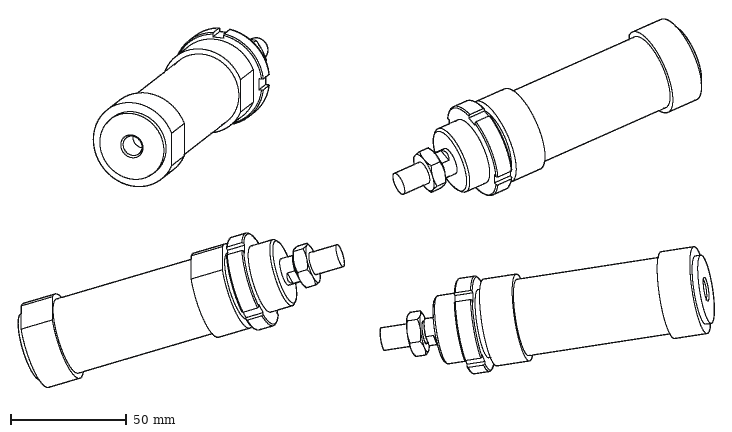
import cadquery as cq
import math


total_length = 144.5
rod_length = 25.9
nose_length = 22.1
cap_length = 14.6
spigot_length = 2.5
barrel_length = total_length - rod_length - nose_length - 2 * cap_length - spigot_length

nose_diameter = 30.0
nose_chamfer = 1.0
barrel_diameter = 33.6
cap_diameter = 38.2
cap_flat_offset = 17.6
spigot_diameter = nose_diameter

port_mouth_diameter = 10.4
port_core_diameter = 8.8
port_depth = 12.0
drill_point_angle = 118.0

rod_diameter = 12.0
rod_thread_diameter = 10.0
rod_neck_diameter = 9.3
rod_neck_length = 1.2
rod_shoulder_length = 6.0
wrench_flat_spacing = 10.0
wrench_flat_length = 3.5

hexagon_sides = 6
rod_nut_across_flats = 17.0
rod_nut_thickness = 6.0
rod_nut_start = rod_shoulder_length + rod_neck_length
rod_nut_chamfer_angle = 30.0

mounting_nut_diameter = 42.0
mounting_nut_thickness = 8.0
mounting_nut_gap = 3.0
mounting_nut_chamfer = 0.6
slot_width = 5.0
slot_floor_radius = 19.0
slot_count = 4


def turned(profile):
    """Revolve (radius, y) points around the Y axis."""
    return cq.Workplane("XY").polyline(profile).close().revolve(360, (0, 0), (0, 1))


def cylinder_along_y(diameter, start, length):
    """Plain cylinder on the Y axis, from y = start toward +Y."""
    return turned([(0, start), (diameter / 2, start), (diameter / 2, start + length), (0, start + length)])


def make_cap(start):
    """End cap of the barrel with one flat on its +X side."""
    cap = cylinder_along_y(cap_diameter, start, cap_length)
    keep = cq.Workplane("XY").box(cap_diameter, cap_length, cap_diameter)
    return cap.intersect(keep.translate((cap_flat_offset - cap_diameter / 2, start + cap_length / 2, 0)))


def make_port(rear):
    """Countersunk blind hole with a drill-point bottom, going toward +Y."""
    mouth = port_mouth_diameter / 2
    core = port_core_diameter / 2
    point_height = core / math.tan(math.radians(drill_point_angle / 2))
    return turned(
        [
            (0, rear),
            (mouth, rear),
            (core, rear + mouth - core),
            (core, rear + port_depth),
            (0, rear + port_depth + point_height),
        ]
    )


def make_cylinder_body():
    """Threaded nose, front cap, barrel, rear cap and rear spigot in one piece."""
    front_cap_start = -nose_length - cap_length
    barrel_start = front_cap_start - barrel_length
    rear_cap_start = barrel_start - cap_length
    rear = rear_cap_start - spigot_length
    nose = cylinder_along_y(nose_diameter, -nose_length, nose_length).faces(">Y").chamfer(nose_chamfer)
    body = (
        nose.union(make_cap(front_cap_start))
        .union(cylinder_along_y(barrel_diameter, barrel_start, barrel_length))
        .union(make_cap(rear_cap_start))
        .union(cylinder_along_y(spigot_diameter, rear, spigot_length))
    )
    return body.cut(make_port(rear))


def make_flat_cutter():
    """Material above the upper wrench flat, with a 45 degree run-out at its rear end."""
    flat_height = wrench_flat_spacing / 2
    cut_height = rod_diameter / 2 - flat_height
    flat_start = rod_shoulder_length - wrench_flat_length
    return (
        cq.Workplane("YZ")
        .moveTo(flat_start, flat_height)
        .lineTo(rod_shoulder_length, flat_height)
        .lineTo(rod_shoulder_length, flat_height + cut_height)
        .lineTo(flat_start - cut_height, flat_height + cut_height)
        .close()
        .extrude(rod_diameter / 2, both=True)
    )


def make_piston_rod():
    """Shoulder with two wrench flats, thread undercut and threaded end."""
    thread_start = rod_shoulder_length + rod_neck_length
    shoulder = cylinder_along_y(rod_diameter, 0, rod_shoulder_length)
    upper_cutter = make_flat_cutter()
    shoulder = shoulder.cut(upper_cutter).cut(upper_cutter.mirror("XY"))
    neck = cylinder_along_y(rod_neck_diameter, rod_shoulder_length, rod_neck_length)
    thread = cylinder_along_y(rod_thread_diameter, thread_start, rod_length - thread_start)
    return shoulder.union(neck).union(thread)


def make_rod_nut():
    """Hexagonal nut with flats at +Z and -Z and both faces chamfered at the corners."""
    nut_end = rod_nut_start + rod_nut_thickness
    face_radius = rod_nut_across_flats / 2
    corner_radius = face_radius / math.cos(math.pi / hexagon_sides)
    chamfer_height = (corner_radius - face_radius) * math.tan(math.radians(rod_nut_chamfer_angle))
    hexagon = (
        cq.Workplane("XZ", origin=(0, nut_end, 0))
        .polygon(hexagon_sides, 2 * corner_radius)
        .extrude(rod_nut_thickness)
    )
    envelope = turned(
        [
            (0, rod_nut_start),
            (face_radius, rod_nut_start),
            (corner_radius, rod_nut_start + chamfer_height),
            (corner_radius, nut_end - chamfer_height),
            (face_radius, nut_end),
            (0, nut_end),
        ]
    )
    bore = cylinder_along_y(rod_thread_diameter, rod_nut_start, rod_nut_thickness)
    return hexagon.intersect(envelope).cut(bore)


def make_mounting_nut():
    """Chamfered ring with evenly spaced spanner slots in its rim."""
    start = -nose_length + mounting_nut_gap
    ring = cylinder_along_y(mounting_nut_diameter, start, mounting_nut_thickness)
    ring = ring.faces("<Y or >Y").edges().chamfer(mounting_nut_chamfer)
    ring = ring.cut(cylinder_along_y(nose_diameter, start, mounting_nut_thickness))
    slot_depth = mounting_nut_diameter / 2 - slot_floor_radius
    slot = cq.Workplane("XY").box(slot_width, mounting_nut_thickness, slot_depth)
    slot = slot.translate((0, start + mounting_nut_thickness / 2, slot_floor_radius + slot_depth / 2))
    for index in range(slot_count):
        ring = ring.cut(slot.rotate((0, 0, 0), (0, 1, 0), index * 360 / slot_count))
    return ring


cylinder_body = make_cylinder_body()
piston_rod = make_piston_rod()
rod_nut = make_rod_nut()
mounting_nut = make_mounting_nut()

result = cq.Compound.makeCompound(
    [cylinder_body.val(), piston_rod.val(), rod_nut.val(), mounting_nut.val()]
)